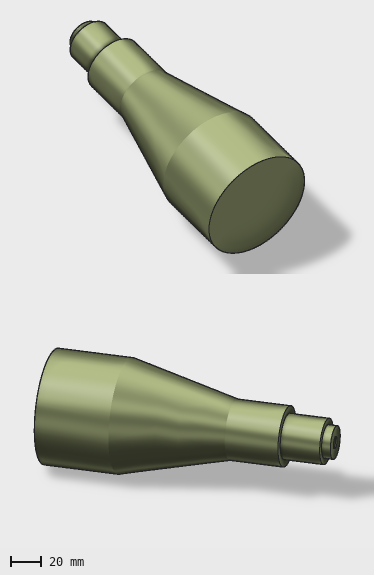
import cadquery as cq

length = 191.5
tip_length = 6.0
neck_length = 26.6
collar_length = 35.8
barrel_length = 50.2

tip_diameter = 22.0
neck_diameter = 30.2
collar_diameter = 40.0
barrel_diameter = 76.0

recess_diameter = 8.0
recess_depth = 1.0

neck_start = tip_length
collar_start = neck_start + neck_length
cone_start = collar_start + collar_length
barrel_start = length - barrel_length


def turned_body():
    """Stepped shaft that flares through a cone into the wide barrel."""
    half_profile = [
        (0, 0),
        (0, tip_diameter / 2),
        (neck_start, tip_diameter / 2),
        (neck_start, neck_diameter / 2),
        (collar_start, neck_diameter / 2),
        (collar_start, collar_diameter / 2),
        (cone_start, collar_diameter / 2),
        (barrel_start, barrel_diameter / 2),
        (length, barrel_diameter / 2),
        (length, 0),
    ]
    return cq.Workplane("XZ").polyline(half_profile).close().revolve(360, (0, 0, 0), (1, 0, 0))


def tip_recess():
    """Cutter for the shallow round recess in the tip."""
    return cq.Workplane("YZ").circle(recess_diameter / 2).extrude(recess_depth)


result = turned_body().cut(tip_recess())